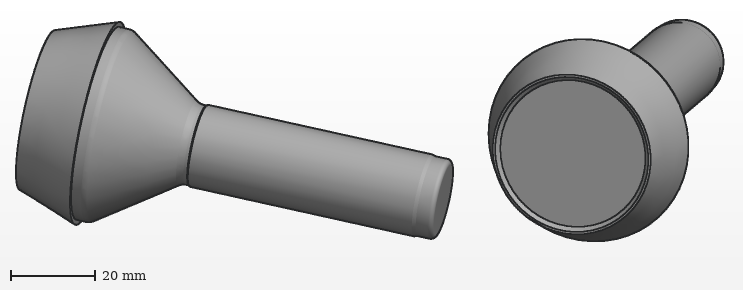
import cadquery as cq

total_length = 100.0

cap_length = 14.8
cap_face_radius = 19.5
cap_rim_radius = 24.7
recess_radius = 18.9
recess_depth = 1.0

nose_radius = 17.9

head_radius = 47.0 / 2
head_cone_start_x = 17.9
neck_radius = 19.5 / 2
neck_cone_end_x = 37.7
head_fillet = 2.2
neck_fillet = 3.0

shank_radius = 20.0 / 2
shank_start_x = 39.5
shank_end_x = 95.0
step_taper_length = 0.3
tip_start_x = 95.9
tip_radius = neck_radius
tip_fillet = 1.2


def revolve_about_x(profile):
    return profile.close().revolve(360, (0, 0, 0), (1, 0, 0))


def make_cap():
    return revolve_about_x(
        cq.Workplane("XY")
        .moveTo(0, recess_radius)
        .lineTo(0, cap_face_radius)
        .lineTo(cap_length, cap_rim_radius)
        .lineTo(cap_length, nose_radius)
        .lineTo(recess_depth, nose_radius)
    )


def edge_circle_at(x, radius):
    """Select the circular edge of the given radius centred on the axis at x."""
    margin = 0.1
    reach = radius + margin
    return cq.selectors.BoxSelector(
        (x - margin, -reach, -reach), (x + margin, reach, reach), boundingbox=True
    )


def make_stem():
    body = revolve_about_x(
        cq.Workplane("XY")
        .moveTo(recess_depth, 0)
        .lineTo(recess_depth, nose_radius)
        .lineTo(cap_length, nose_radius)
        .lineTo(cap_length, head_radius)
        .lineTo(head_cone_start_x, head_radius)
        .lineTo(neck_cone_end_x, neck_radius)
        .lineTo(shank_start_x, neck_radius)
        .lineTo(shank_start_x + step_taper_length, shank_radius)
        .lineTo(shank_end_x, shank_radius)
        .lineTo(tip_start_x, tip_radius)
        .lineTo(total_length, tip_radius)
        .lineTo(total_length, 0)
    )
    body = body.edges(edge_circle_at(head_cone_start_x, head_radius)).fillet(head_fillet)
    body = body.edges(edge_circle_at(neck_cone_end_x, neck_radius)).fillet(neck_fillet)
    return body.faces(">X").edges().fillet(tip_fillet)


cap = make_cap()
stem = make_stem()

result = cq.Compound.makeCompound([cap.val(), stem.val()])